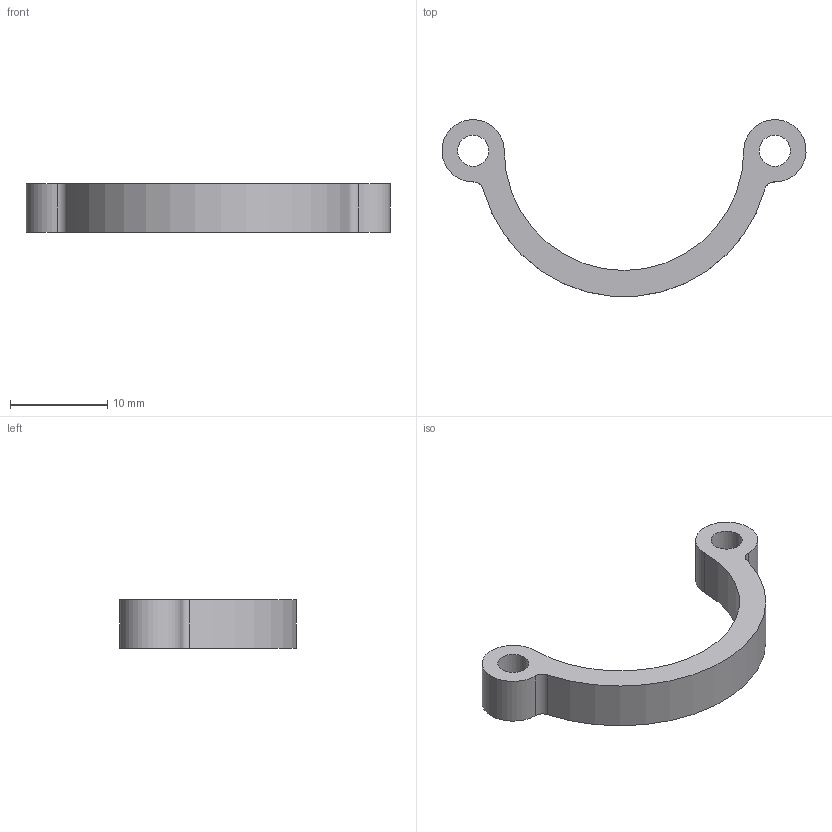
import cadquery as cq

THICKNESS = 5.0
BAND_OUTER_RADIUS = 15.0
HOLE_OFFSET = 15.5
HOLE_DIAMETER = 3.2
EAR_RADIUS = 3.2
NECK_FILLET_RADIUS = 1.0

BAND_INNER_RADIUS = HOLE_OFFSET - EAR_RADIUS

EAR_CENTERS = [(-HOLE_OFFSET, 0), (HOLE_OFFSET, 0)]


def half_band():
    """Half ring on the -Y side of the axis, ending at the ear centre line."""
    return (
        cq.Workplane("XY")
        .moveTo(-BAND_OUTER_RADIUS, 0)
        .threePointArc((0, -BAND_OUTER_RADIUS), (BAND_OUTER_RADIUS, 0))
        .lineTo(BAND_INNER_RADIUS, 0)
        .threePointArc((0, -BAND_INNER_RADIUS), (-BAND_INNER_RADIUS, 0))
        .close()
        .extrude(THICKNESS)
    )


def ear_cylinders(radius):
    """One full-height cylinder at each ear centre."""
    return cq.Workplane("XY").pushPoints(EAR_CENTERS).circle(radius).extrude(THICKNESS)


def neck_edges(body):
    """Vertical edges where the outside of the band meets the ears."""
    margin = EAR_RADIUS / 2
    selector = cq.selectors.BoxSelector(
        (-HOLE_OFFSET, -EAR_RADIUS - margin, 0),
        (HOLE_OFFSET, -EAR_RADIUS + margin, THICKNESS),
    )
    return body.edges("|Z").edges(selector)


clamp = half_band().union(ear_cylinders(EAR_RADIUS))
clamp = neck_edges(clamp).fillet(NECK_FILLET_RADIUS)
result = clamp.cut(ear_cylinders(HOLE_DIAMETER / 2))